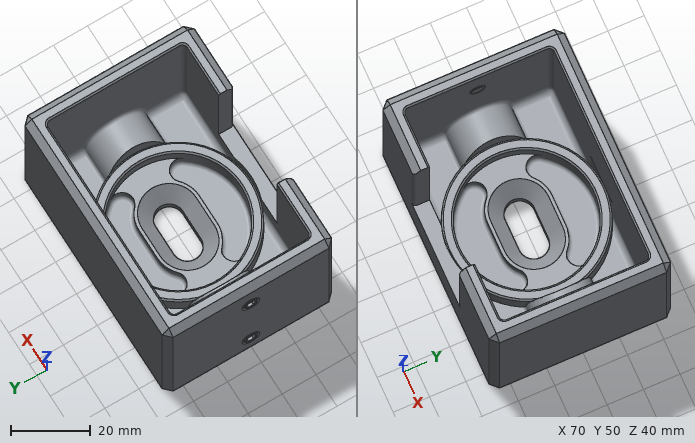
import cadquery as cq
import math

LENGTH = 70.0
WIDTH = 50.0
HEIGHT = 40.0
OUTER_CHAMFER = 2.0

WALL = 4.5
FLOOR = 5.0
CAVITY_CORNER_RADIUS = 1.4
FLOOR_FILLET = 2.0
RIM_CHAMFER = 0.5

BOSS_RADIUS = 9.0
BOSS_FILLET = 1.0

NOTCH_HALF_WIDTH = 14.0
NOTCH_FLOOR = 12.0
NOTCH_ROUND = 1.0

DISC_RADIUS = 21.5
SEAT_RADIUS = 21.55
SEAT_TOP = 17.0
DISC_HEIGHT = 10.0
DISC_EDGE_CHAMFER = 0.5
DISC_RIM = 3.0
DISC_FLOOR = 6.1

SLOT_RADIUS = 4.0
SLOT_CENTRE = 4.35
SLOT_TAPER = 4.0

POCKET_LIP = 0.9
POCKET_END_RADIUS = 3.15
POCKET_FLOOR = 3.0
POCKET_FILLET = 1.0

SCREW_RADIUS = 2.1
SCREW_CHAMFER = 0.3
SCREW_HOLE_CHAMFER = 0.5
LOWER_SCREW_Z = 6.0
UPPER_SCREW_Z = 30.0
UPPER_SCREW_LENGTH = 4.7
HEX_ACROSS_FLATS = 2.5
HEX_DEPTH = 2.5
SOCKET_POINT_ANGLE = 120.0

CAVITY_LENGTH = LENGTH - 2 * WALL
CAVITY_WIDTH = WIDTH - 2 * WALL
DISC_POCKET_RADIUS = DISC_RADIUS - DISC_RIM
LOWER_SCREW_LENGTH = LENGTH / 2 - DISC_RADIUS


def box_on_floor(length, width, z_bottom, z_top):
    """Box centred on the Z axis between two heights."""
    return cq.Workplane("XY").workplane(offset=z_bottom).rect(length, width).extrude(z_top - z_bottom)


def cylinder_z(radius, z_bottom, z_top):
    """Cylinder on the Z axis between two heights."""
    return cq.Workplane("XY").workplane(offset=z_bottom).circle(radius).extrude(z_top - z_bottom)


def boss_profile():
    """Round-topped boss bar, its axis level with the cavity floor and straight-sided below it."""
    return (
        cq.Workplane("YZ", origin=(-LENGTH / 2, 0, 0))
        .moveTo(-BOSS_RADIUS, 0)
        .lineTo(-BOSS_RADIUS, FLOOR)
        .threePointArc((0, FLOOR + BOSS_RADIUS), (BOSS_RADIUS, FLOOR))
        .lineTo(BOSS_RADIUS, 0)
        .close()
        .extrude(LENGTH)
    )


def cavity():
    """Space inside the housing, with filleted floor and the bosses left standing."""
    space = (
        box_on_floor(CAVITY_LENGTH, CAVITY_WIDTH, FLOOR, HEIGHT)
        .edges("|Z").fillet(CAVITY_CORNER_RADIUS)
        .faces("<Z").edges().fillet(FLOOR_FILLET)
    )
    around_bosses = cq.selectors.BoxSelector(
        (-LENGTH, -BOSS_RADIUS - BOSS_FILLET, FLOOR / 2),
        (LENGTH, BOSS_RADIUS + BOSS_FILLET, FLOOR + BOSS_RADIUS),
        boundingbox=True,
    )
    return space.cut(boss_profile()).edges(around_bosses).fillet(BOSS_FILLET)


def rim_chamfer():
    """Bevel around the mouth of the cavity."""
    return (
        box_on_floor(CAVITY_LENGTH + 2 * RIM_CHAMFER, CAVITY_WIDTH + 2 * RIM_CHAMFER, FLOOR, HEIGHT)
        .edges("|Z").fillet(CAVITY_CORNER_RADIUS + RIM_CHAMFER)
        .faces("<Z").chamfer(RIM_CHAMFER)
    )


def notch():
    """Opening through the front wall, flared by a round along its outer upright edges."""
    front = -WIDTH / 2
    inside = front + WALL + FLOOR_FILLET
    flare = NOTCH_HALF_WIDTH + NOTCH_ROUND
    return (
        cq.Workplane("XY", origin=(0, 0, NOTCH_FLOOR))
        .moveTo(-flare, front)
        .radiusArc((-NOTCH_HALF_WIDTH, front + NOTCH_ROUND), -NOTCH_ROUND)
        .lineTo(-NOTCH_HALF_WIDTH, inside)
        .lineTo(NOTCH_HALF_WIDTH, inside)
        .lineTo(NOTCH_HALF_WIDTH, front + NOTCH_ROUND)
        .radiusArc((flare, front), -NOTCH_ROUND)
        .close()
        .extrude(HEIGHT - NOTCH_FLOOR)
    )


def screw_hole(z, length):
    """Hole from the -X face inward, countersunk at its mouth."""
    hole = cq.Workplane("YZ", origin=(-LENGTH / 2, 0, z)).circle(SCREW_RADIUS).extrude(length)
    mouth_radius = SCREW_RADIUS + SCREW_HOLE_CHAMFER
    mouth = cq.Solid.makeCone(
        mouth_radius, SCREW_RADIUS, SCREW_HOLE_CHAMFER, cq.Vector(-LENGTH / 2, 0, z), cq.Vector(1, 0, 0)
    )
    return hole.union(cq.Workplane(mouth))


def make_housing():
    block = (
        box_on_floor(LENGTH, WIDTH, 0, HEIGHT)
        .edges("|Z or >Z").chamfer(OUTER_CHAMFER)
    )
    body = block.cut(cavity())
    body = body.cut(notch())
    body = body.cut(cylinder_z(SEAT_RADIUS, 0, SEAT_TOP))
    body = body.cut(screw_hole(LOWER_SCREW_Z, LOWER_SCREW_LENGTH))
    return body.cut(screw_hole(UPPER_SCREW_Z, UPPER_SCREW_LENGTH))


def stadium(radius, z):
    """Slot outline around the two slot centres at a given height."""
    return cq.Workplane("XY").workplane(offset=z).slot2D(2 * (SLOT_CENTRE + radius), 2 * radius)


def mounting_slot():
    """Through slot that widens at 45 degrees up to the disc floor."""
    straight = stadium(SLOT_RADIUS, 0).extrude(DISC_FLOOR)
    taper = stadium(SLOT_RADIUS + SLOT_TAPER, DISC_FLOOR).extrude(-SLOT_TAPER, taper=45)
    return straight.union(taper)


def curved_pocket():
    """Pocket on the +Y side between the slot lip and the disc rim, with round ends."""
    outer = DISC_POCKET_RADIUS
    inner = SLOT_RADIUS + SLOT_TAPER + POCKET_LIP
    to_axis = outer - POCKET_END_RADIUS
    to_slot = inner + POCKET_END_RADIUS
    end_x = (to_axis**2 - to_slot**2 + SLOT_CENTRE**2) / (2 * SLOT_CENTRE)
    end_y = math.sqrt(to_axis**2 - end_x**2)
    outer_touch = (end_x * outer / to_axis, end_y * outer / to_axis)
    lip_touch = (SLOT_CENTRE + (end_x - SLOT_CENTRE) * inner / to_slot, end_y * inner / to_slot)
    return (
        cq.Workplane("XY", origin=(0, 0, POCKET_FLOOR))
        .moveTo(-SLOT_CENTRE, inner)
        .lineTo(SLOT_CENTRE, inner)
        .radiusArc(lip_touch, inner)
        .radiusArc(outer_touch, -POCKET_END_RADIUS)
        .threePointArc((0, outer), (-outer_touch[0], outer_touch[1]))
        .radiusArc((-lip_touch[0], lip_touch[1]), -POCKET_END_RADIUS)
        .radiusArc((-SLOT_CENTRE, inner), inner)
        .close()
        .extrude(DISC_FLOOR - POCKET_FLOOR)
        .faces("<Z").edges().fillet(POCKET_FILLET)
    )


def make_base_disc():
    disc = cylinder_z(DISC_RADIUS, 0, DISC_HEIGHT)
    disc = disc.cut(cylinder_z(DISC_POCKET_RADIUS, DISC_FLOOR, DISC_HEIGHT))
    disc = disc.faces(">Z").chamfer(DISC_EDGE_CHAMFER)
    disc = disc.cut(mounting_slot())
    pocket = curved_pocket()
    for angle in (0, 180):
        disc = disc.cut(pocket.rotate((0, 0, 0), (0, 0, 1), angle))
    return disc


def make_set_screw(z, length):
    """Headless screw flush with the -X face, with a hexagon socket."""
    across_corners = HEX_ACROSS_FLATS / math.cos(math.radians(30))
    start = cq.Workplane("YZ", origin=(-LENGTH / 2, 0, z))
    shank = start.circle(SCREW_RADIUS).extrude(length).faces("<X or >X").chamfer(SCREW_CHAMFER)
    return shank.cut(start.polygon(6, across_corners).extrude(HEX_DEPTH))


def drill_socket_point(screw, z):
    """Conical drill point at the bottom of a screw's socket."""
    radius = HEX_ACROSS_FLATS / 2
    depth = radius / math.tan(math.radians(SOCKET_POINT_ANGLE / 2))
    base = cq.Vector(-LENGTH / 2 + HEX_DEPTH, 0, z)
    return screw.cut(cq.Workplane(cq.Solid.makeCone(radius, 0, depth, base, cq.Vector(1, 0, 0))))


housing = make_housing().cut(rim_chamfer().translate((0, 0, HEIGHT - FLOOR - RIM_CHAMFER)))
base_disc = make_base_disc()
lower_screw = make_set_screw(LOWER_SCREW_Z, LOWER_SCREW_LENGTH)
upper_screw = drill_socket_point(make_set_screw(UPPER_SCREW_Z, UPPER_SCREW_LENGTH), UPPER_SCREW_Z)

result = cq.Compound.makeCompound(
    [housing.val(), base_disc.val(), lower_screw.val(), upper_screw.val()]
)